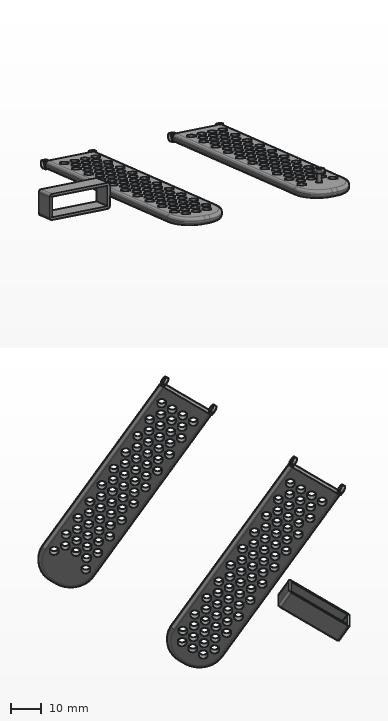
import cadquery as cq
import math

plate_length = 82.9
plate_width = 20.0
plate_thickness = 2.95
tip_corner_radius = 9.0
edge_round = 1.2
plate_start = 2.95

eye_radius = 1.5
eye_drop = 0.07
eye_hole_diameter = 2.72
eye_width = edge_round
eye_z = plate_thickness - eye_radius - eye_drop

hole_diameter = 3.0
hole_pitch = 4.14
column_pitch = hole_pitch * math.sqrt(3) / 2
first_column_x = 8.22
long_column_holes = 4
short_column_holes = 3

stud_x = 73.78
stem_diameter = 1.69
stem_foot_round = 0.25
head_diameter = 3.76
head_round = 0.38
head_height = 1.3
head_recess_diameter = stem_diameter
head_recess_depth = 0.4
stud_height = 4.5

band_length = 23.85
band_width = 6.45
band_height = 9.0
band_wall = 1.0
band_corner_radius = 1.0

plain_plate_x = 1.5
plain_plate_y = -51.35
overall_width = 99.92
band_x = 45.9
band_y = plate_width / 2 - overall_width + band_length / 2
band_z = plate_thickness + 0.5


def hole_centers(column_count):
    """Centers of full columns of holes, alternating between long and short columns."""
    centers = []
    for column in range(column_count):
        count = long_column_holes if column % 2 == 0 else short_column_holes
        for row in range(count):
            y = (row - (count - 1) / 2) * hole_pitch
            centers.append((first_column_x + column * column_pitch, y))
    return centers


def make_panel():
    """Panel with two large tip corners and rounded sides and tip; the rear edge stays sharp."""
    panel_length = plate_length - plate_start
    panel = (
        cq.Workplane("XY")
        .box(panel_length, plate_width, plate_thickness, centered=(False, True, False))
        .translate((plate_start, 0, 0))
        .edges("|Z and >X")
        .fillet(tip_corner_radius)
    )
    return panel.faces("<Z or >Z").edges("not <X").fillet(edge_round)


def make_hinge_eye(y_start):
    """Pierced eye joined to the panel by a block of the panel's thickness."""
    neck = cq.Workplane("XY").box(
        plate_start - eye_radius, eye_width, plate_thickness, centered=False
    ).translate((eye_radius, y_start, 0))
    eye = (
        cq.Workplane("XZ", origin=(eye_radius, y_start, eye_z))
        .circle(eye_radius)
        .extrude(-eye_width)
    )
    bore = (
        cq.Workplane("XZ", origin=(eye_radius, y_start, eye_z))
        .circle(eye_hole_diameter / 2)
        .extrude(-eye_width)
    )
    return neck.union(eye).cut(bore)


def make_plate(centers):
    """One plate with its two hinge eyes and the given holes."""
    plate = make_panel()
    for y_start in (-plate_width / 2, plate_width / 2 - eye_width):
        plate = plate.union(make_hinge_eye(y_start))
    holes = (
        cq.Workplane("XY")
        .pushPoints(centers)
        .circle(hole_diameter / 2)
        .extrude(plate_thickness)
    )
    return plate.cut(holes)


def make_stud():
    """Mushroom-shaped stud standing on the plate, with a flared foot and a recessed head."""
    stem_radius = stem_diameter / 2
    stem_height = stud_height - head_height
    foot_radius = stem_radius + stem_foot_round
    stem = (
        cq.Workplane("XZ")
        .lineTo(foot_radius, 0)
        .radiusArc((stem_radius, stem_foot_round), stem_foot_round)
        .lineTo(stem_radius, stem_height)
        .lineTo(0, stem_height)
        .close()
        .revolve(360, (0, 0, 0), (0, 1, 0))
    )
    head = (
        cq.Workplane("XY", origin=(0, 0, stem_height))
        .circle(head_diameter / 2)
        .extrude(head_height)
        .faces("<Z or >Z")
        .edges()
        .fillet(head_round)
    )
    recess = (
        cq.Workplane("XY", origin=(0, 0, stud_height))
        .circle(head_recess_diameter / 2)
        .extrude(-head_recess_depth)
    )
    return stem.union(head).cut(recess)


def make_band():
    """Rectangular band, open along X, with rounded outer corners."""
    outer = (
        cq.Workplane("XY")
        .box(band_width, band_length, band_height)
        .edges("|X")
        .fillet(band_corner_radius)
    )
    opening = cq.Workplane("XY").box(
        band_width, band_length - 2 * band_wall, band_height - 2 * band_wall
    )
    return outer.cut(opening)


last_column = 18
last_column_x = first_column_x + last_column * column_pitch
outer_hole_y = (long_column_holes - 1) / 2 * hole_pitch
outer_holes = [(last_column_x, -outer_hole_y), (last_column_x, outer_hole_y)]

studded_plate = make_plate(hole_centers(last_column) + outer_holes)
stud = make_stud().translate((stud_x, 0, plate_thickness))
plain_plate = make_plate(hole_centers(last_column + 2)).translate((plain_plate_x, plain_plate_y, 0))
band = make_band().translate((band_x, band_y, band_z))

result = cq.Compound.makeCompound(
    [studded_plate.val(), stud.val(), plain_plate.val(), band.val()]
)